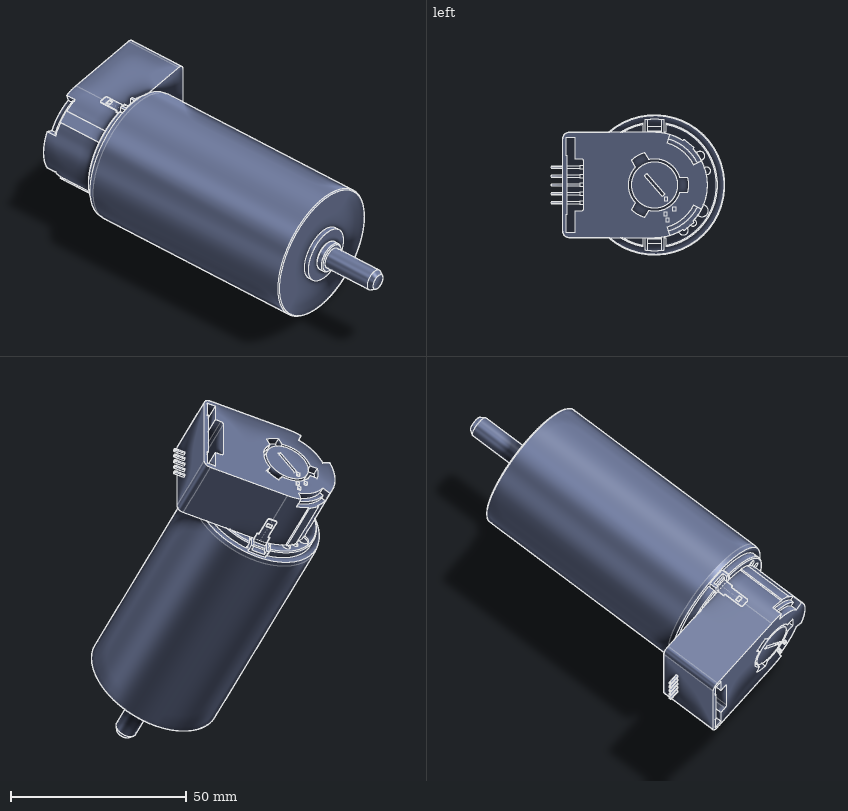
import cadquery as cq
import math


can_radius = 20.0
can_length = 68.6
rear_chamfer_length = 1.3
rear_chamfer_depth = 0.2
front_chamfer = 0.3
boss_radius = 8.1
boss_length = 1.4

ring_radius = 17.9
ring_length = 2.3
ring_chamfer = 0.3

recess_circle_radius = 15.4
recess_depth = 0.5
recesses = [(32.7, 1.3), (15.2, 1.1), (-28.5, 1.8), (-44.6, 1.0), (-57.7, 1.3)]

shaft_radius = 3.2
shaft_reach = 20.4
shaft_seat_depth = 6.0
shaft_tip_length = 1.4
shaft_tip_radius = 2.3
collar_radius = 4.5
collar_length = 2.2
collar_chamfer = 0.3

case_radius = 15.1
case_length = 18.3
case_reach = 26.3
case_corner_radius = 2.0

holder_width = 5.5
holder_radius = 18.8
holder_gap_width = 6.6
holder_channel_width = 4.0
holder_channel_depth = 1.4
holder_shelf_height = 16.7
lug_thickness = 0.3
lug_root_width = holder_channel_width
lug_root_depth = 0.9
lug_shoulder = 2.2
lug_tip_width = 2.9
lug_length = 8.5
lug_tip_chamfer = 0.3
lug_hole_length = 1.1
lug_hole_width = 1.5
lug_hole_offset = 6.2

latch_angle = 50.3
latch_half_angle = 23.0
latch_inner_radius = 12.5
latch_inner_depth = 2.0
latch_outer_radius = 13.8
latch_outer_depth = 3.1
pad_height = 15.4
pad_width = 3.7

hub_radius = 6.6
groove_radius = 7.5
groove_depth = 2.2
notch_radius = 9.7
notch_width = 4.4
notch_count = 3
slot_length = 7.8
slot_width = 1.0
slot_depth = 1.6
slot_angle = 49.0

mark_height = 0.4
mark_width = 0.9
mark_length = 1.1
mark_centres = [(-3.3, -4.0), (-5.6, -6.8), (-3.1, -8.2), (-3.6, -10.0)]

pocket_outer = 25.0
pocket_inner = 22.8
pocket_half_height = 13.5
pocket_bay_inner = 20.2
pocket_bay_half_height = 7.5
pocket_bay_corner = 0.8
pocket_relief = 0.3
pocket_relief_start = 8.4
pocket_depth = 15.4
pin_count = 5
pin_pitch = 2.5
pin_width = 0.7
pin_reach = 29.6
pin_tip_chamfer = 0.2
pin_offset = 13.3
pin_base_width = 1.0
pin_base_length = 1.1

can_rear = -can_length
ring_rear = can_rear - ring_length
case_rear = ring_rear - case_length


def disc(radius, start, end):
    """Cylinder about the motor axis between two X positions."""
    return cq.Workplane("YZ", origin=(start, 0, 0)).circle(radius).extrude(end - start)


def block(start, end, y_min, y_max, z_min, z_max):
    """Box between the given limits."""
    box = cq.Workplane("XY").box(end - start, y_max - y_min, z_max - z_min, centered=False)
    return box.translate((start, y_min, z_min))


def turned(profile):
    """Body of revolution about the motor axis from (X, radius) points."""
    return cq.Workplane("XY").polyline(profile).close().revolve(360, (0, 0, 0), (1, 0, 0))


def lug_plate():
    """Flat solder lug lying on top of the encoder case, with its root in the brush holder."""
    tip = ring_rear - lug_length
    z_min = case_radius
    z_max = z_min + lug_thickness
    half_root = lug_root_width / 2
    half_tip = lug_tip_width / 2
    half_hole = lug_hole_width / 2
    root = block(ring_rear - lug_shoulder, ring_rear + lug_root_depth, -half_root, half_root, z_min, z_max)
    tongue = block(tip, ring_rear, -half_tip, half_tip, z_min, z_max)
    tongue = tongue.edges("|Z and <X").chamfer(lug_tip_chamfer)
    hole_start = ring_rear - lug_hole_offset - lug_hole_length / 2
    hole = block(hole_start, hole_start + lug_hole_length, -half_hole, half_hole, z_min, z_max)
    return root.union(tongue).cut(hole)


def brush_holder():
    """Upper brush holder: a round-topped block with a stepped channel open to the rear."""
    half = holder_width / 2
    half_channel = holder_channel_width / 2
    body = block(ring_rear, can_rear, -half, half, case_radius, holder_radius)
    body = body.intersect(disc(holder_radius, ring_rear, can_rear))
    shelf = holder_shelf_height
    channel_end = ring_rear + holder_channel_depth
    root_end = ring_rear + lug_root_depth
    upper = block(ring_rear, channel_end, -half_channel, half_channel, shelf, holder_radius)
    lower = block(ring_rear, root_end, -half_channel, half_channel, case_radius, shelf)
    return body.cut(upper).cut(lower).union(lug_plate())


def ring_recess(angle, radius):
    """Shallow round recess in the rear face of the ring."""
    turn = math.radians(angle)
    y = -recess_circle_radius * math.cos(turn)
    z = recess_circle_radius * math.sin(turn)
    return disc(radius, ring_rear, ring_rear + recess_depth).translate((0, y, z))


def make_motor():
    rear_radius = can_radius - rear_chamfer_depth
    motor = turned([
        (can_rear, 0),
        (can_rear, rear_radius),
        (can_rear + rear_chamfer_length, can_radius),
        (-front_chamfer, can_radius),
        (0, can_radius - front_chamfer),
        (0, boss_radius),
        (boss_length, boss_radius),
        (boss_length, 0),
    ])
    ring = disc(ring_radius, ring_rear, can_rear).faces("<X").chamfer(ring_chamfer)
    half_gap = holder_gap_width / 2
    holder_gap = block(ring_rear, can_rear, -half_gap, half_gap, case_radius, ring_radius)
    holder = brush_holder()
    for turn in (0, 180):
        ring = ring.cut(holder_gap.rotate((0, 0, 0), (1, 0, 0), turn))
        ring = ring.union(holder.rotate((0, 0, 0), (1, 0, 0), turn))
    for angle, radius in recesses:
        ring = ring.cut(ring_recess(angle, radius))
    shaft_seat = disc(shaft_radius, -shaft_seat_depth, boss_length)
    return motor.union(ring).cut(shaft_seat)


def make_shaft():
    collar_end = boss_length + collar_length
    return turned([
        (-shaft_seat_depth, 0),
        (-shaft_seat_depth, shaft_radius),
        (boss_length, shaft_radius),
        (boss_length, collar_radius - collar_chamfer),
        (boss_length + collar_chamfer, collar_radius),
        (collar_end - collar_chamfer, collar_radius),
        (collar_end, collar_radius - collar_chamfer),
        (collar_end, shaft_radius),
        (shaft_reach - shaft_tip_length, shaft_radius),
        (shaft_reach, shaft_tip_radius),
        (shaft_reach, 0),
    ])


def encoder_case():
    """Case with a round side about the axis and a square side reaching to +Y."""
    square_side = block(case_rear, ring_rear, 0, case_reach, -case_radius, case_radius)
    square_side = square_side.edges("|X and >Y").fillet(case_corner_radius)
    return disc(case_radius, case_rear, ring_rear).union(square_side)


def latch_sector(inner_radius, depth):
    """Ring sector centred on -Y, sunk into the rear face and open at the outside."""
    reach = 2 * case_radius
    half_spread = reach * math.tan(math.radians(latch_half_angle))
    wedge = (
        cq.Workplane("YZ", origin=(case_rear, 0, 0))
        .polyline([(0, 0), (-reach, half_spread), (-reach, -half_spread)])
        .close()
        .extrude(depth)
    )
    return wedge.cut(disc(inner_radius, case_rear, case_rear + depth))


def add_latches(case):
    half_pad = pad_width / 2
    pad = block(case_rear + latch_outer_depth, ring_rear, -pad_height, -latch_outer_radius, -half_pad, half_pad)
    pocket = latch_sector(latch_inner_radius, latch_inner_depth)
    pocket = pocket.union(latch_sector(latch_outer_radius, latch_outer_depth))
    for angle in (latch_angle, -latch_angle):
        case = case.cut(pocket.rotate((0, 0, 0), (1, 0, 0), angle))
        case = case.union(pad.rotate((0, 0, 0), (1, 0, 0), angle))
    return case


def hub_groove():
    """Ring groove with three outward notches around the hub."""
    floor = case_rear + groove_depth
    groove = disc(groove_radius, case_rear, floor)
    half_notch = notch_width / 2
    notch = block(case_rear, floor, -notch_radius, 0, -half_notch, half_notch)
    notch = notch.intersect(disc(notch_radius, case_rear, floor))
    for index in range(notch_count):
        groove = groove.union(notch.rotate((0, 0, 0), (1, 0, 0), index * 360 / notch_count))
    return groove.cut(disc(hub_radius, case_rear, floor))


def hub_slot():
    """Screwdriver slot across the hub."""
    half_length = slot_length / 2
    half_width = slot_width / 2
    slot = block(case_rear, case_rear + slot_depth, -half_length, half_length, -half_width, half_width)
    return slot.rotate((0, 0, 0), (1, 0, 0), slot_angle)


def connector_pocket():
    """Deep pocket behind the +Y wall, wider at mid height around the pins, its wall relieved at both ends."""
    bay_half = pocket_bay_half_height
    half = pocket_half_height
    floor = case_rear + pocket_depth
    wide = block(case_rear, floor, pocket_inner, pocket_outer, -half, half)
    bay = block(case_rear, floor, pocket_bay_inner, pocket_inner, -bay_half, bay_half)
    bay = bay.edges("|X and <Y").fillet(pocket_bay_corner)
    pocket = wide.union(bay)
    relief_end = pocket_outer + pocket_relief
    for z_min, z_max in ((pocket_relief_start, half), (-half, -pocket_relief_start)):
        relief = block(case_rear, floor, pocket_outer, relief_end, z_min, z_max)
        pocket = pocket.union(relief)
    return pocket


def connector_pin():
    """Square pin from the inner pocket wall out through the +Y wall."""
    half = pin_width / 2
    half_base = pin_base_width / 2
    x = case_rear + pin_offset
    pin = block(x - half, x + half, pocket_bay_inner, pin_reach, -half, half)
    pin = pin.edges("|X and >Y").chamfer(pin_tip_chamfer)
    base_end = pocket_bay_inner + pin_base_length
    base = block(x - half_base, x + half_base, pocket_bay_inner, base_end, -half_base, half_base)
    return pin.union(base)


def make_encoder():
    encoder = add_latches(encoder_case())
    encoder = encoder.cut(hub_groove()).cut(hub_slot()).cut(connector_pocket())
    pin = connector_pin()
    for index in range(pin_count):
        height = (index - (pin_count - 1) / 2) * pin_pitch
        encoder = encoder.union(pin.translate((0, 0, height)))
    mark = cq.Workplane("XY").box(2 * mark_height, mark_width, mark_length)
    for y, z in mark_centres:
        encoder = encoder.union(mark.translate((case_rear, y, z)))
    return encoder


motor = make_motor()
shaft = make_shaft()
encoder = make_encoder()

bodies = [motor, shaft, encoder]
result = cq.Compound.makeCompound([body.solids().val() for body in bodies])